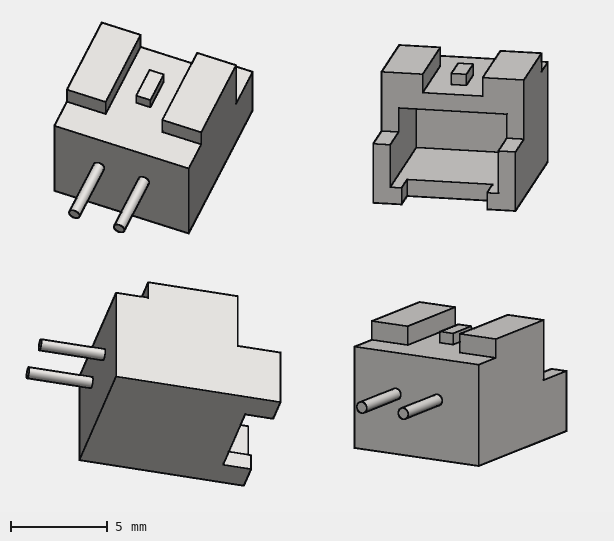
import cadquery as cq

width = 7.5
total_length = 12.2
total_height = 6.4
rail_height = 1.0
roof_top = total_height - rail_height

arm_length = 2.28
arm_height = total_height / 2
side_wall = 0.9
floor_thickness = side_wall
roof_thickness = side_wall
notch_width = 4.5
notch_depth = 1.5

rail_width = 2.17
rail_length = 4.8
key_width = 0.79
key_length = 1.83
key_height = 0.6
key_setback = 1.68

pin_diameter = 0.6
pin_pitch = 2.5
pin_length = 3.4
pin_height = total_height / 2

housing_length = total_length - pin_length
roof_end = housing_length - arm_length
rail_start = roof_end - rail_length
overlap = 0.12


def block(x_size, y_start, y_end, z_start, z_end, x_center=0.0):
    """Axis-aligned block placed by its Y and Z limits."""
    return (
        cq.Workplane("XY")
        .box(x_size, y_end - y_start, z_end - z_start, centered=(True, False, False))
        .translate((x_center, y_start, z_start))
    )


def make_housing():
    """Stepped box with a plug cavity and a notch through the floor."""
    body = block(width, 0, roof_end, 0, roof_top)
    body = body.union(block(width, 0, housing_length, 0, arm_height))
    cavity_width = width - 2 * side_wall
    cavity = block(cavity_width, rail_start, housing_length, floor_thickness, roof_top - roof_thickness)
    notch = block(notch_width, housing_length - notch_depth, housing_length, 0, floor_thickness)
    return body.cut(cavity).cut(notch)


def make_rail(side):
    """Raised rail flush with one side of the housing (side is -1 or +1)."""
    x_center = side * (width - rail_width) / 2
    return block(rail_width, rail_start, roof_end, roof_top - overlap, total_height, x_center)


def make_key():
    """Small rectangular key centred between the rails."""
    key_end = roof_end - key_setback
    return block(key_width, key_end - key_length, key_end, roof_top - overlap, roof_top + key_height)


def make_pin(side):
    """Round pin pointing toward -Y."""
    return (
        cq.Workplane("XZ", origin=(side * pin_pitch / 2, overlap, pin_height))
        .circle(pin_diameter / 2)
        .extrude(pin_length + overlap)
    )


result = make_housing().union(make_key())
for side in (-1, 1):
    result = result.union(make_rail(side)).union(make_pin(side))